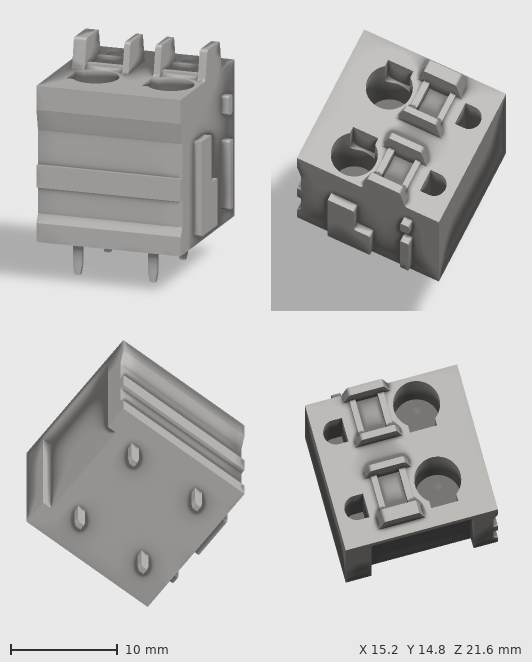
import cadquery as cq
import math


overall_height = 21.6
pin_length = 3.5

left_width = 6.72
spacer_width = 2.48
right_width = 5.18
depth = 14.8
height = 15.23
spacer_start = left_width
right_start = spacer_start + spacer_width
right_end = right_start + right_width
pole_pitch = 7.5

bay_depth = 0.45
lower_slope_bottom = 1.85
lower_slope_top = 2.7
rib_bottom = 5.31
rib_top = 7.5
upper_slope_bottom = 10.8
upper_slope_top = 12.9

side_recess_depth = 1.0
side_recess_front = 2.38
side_recess_back = 12.3
side_recess_top = 14.0

wire_hole_x = 4.23
wire_hole_y = 4.69
wire_hole_radius = 2.2
wire_hole_depth = 8.65

slot_left = 1.77
slot_width_y = 2.64
slot_depth = 4.32
slot_floor_radius = 0.7

probe_hole_x = 3.65
probe_hole_radius = 1.17
probe_hole_front = 11.8
probe_hole_arc_y = 12.72
probe_hole_depth = 8.65

guard_center_y = 9.03
guard_fillet = 0.3
foot_thickness = 0.43
plate_left = 1.08
window_left = 2.33
window_right = 6.11
plate_height = overall_height - pin_length - height
plate_base_half = 2.25
plate_top_half = 1.68
plate_foot_half = plate_base_half + 2 * guard_fillet
ridge_height = 0.45
ridge_front = 7.06
window_front = 7.97
window_back = 10.13
ridge_back = 11.0
window_depth = 0.9

peg_length = 0.78
lower_peg_length = 0.85
peg_front = 11.15
peg_back = 12.05
upper_peg_bottom = 10.8
upper_peg_top = 12.65
lower_peg_bottom = 1.6
lower_peg_top = 8.34
peg_radius = 0.22
block_front = 3.59
block_step_y = 6.3
block_back = 8.0
block_bottom = 1.0
block_top = 10.24
block_step_z = (block_bottom + block_top) / 2
block_step_radius = 0.2

pin_x = 3.22
pin_rows_y = (2.6, 10.78)
pin_width = 0.85
pin_tip_width = 0.55
pin_thickness = 0.55
pin_taper = 0.89


def box(x_range, y_range, z_range):
    """Box between the given limits."""
    sizes = [end - start for start, end in (x_range, y_range, z_range)]
    corner = (x_range[0], y_range[0], z_range[0])
    return cq.Workplane("XY").box(*sizes, centered=False).translate(corner)


def prism_along_x(points, x_start, x_end):
    """Extrude an outline of (y, z) points from x_start to x_end."""
    outline = cq.Workplane("YZ", origin=(x_start, 0, 0)).polyline(points).close()
    return outline.extrude(x_end - x_start)


def round_corners(prism, corners, radius):
    """Round the X-parallel edges of a prism that pass through the given (y, z) corners."""
    middle_x = prism.val().Center().x
    for y, z in corners:
        nearest = cq.selectors.NearestToPointSelector((middle_x, y, z))
        prism = prism.edges("|X").edges(nearest).fillet(radius)
    return prism


def slab(x_start, x_end):
    """Housing slab with the stepped front face."""
    outline = [
        (0, 0),
        (depth, 0),
        (depth, height),
        (0, height),
        (0, upper_slope_top),
        (bay_depth, upper_slope_bottom),
        (bay_depth, rib_top),
        (0, rib_top),
        (0, rib_bottom),
        (bay_depth, rib_bottom),
        (bay_depth, lower_slope_top),
        (0, lower_slope_bottom),
    ]
    return prism_along_x(outline, x_start, x_end)


def guard_plate(x_start, x_end):
    """Tapered plate on the top face, on a foot sunk flush into the housing."""
    foot_front = guard_center_y - plate_foot_half
    foot_back = guard_center_y + plate_foot_half
    foot_bottom = height - foot_thickness
    plate_corners = [
        (guard_center_y + plate_base_half, height),
        (guard_center_y + plate_top_half, height + plate_height),
        (guard_center_y - plate_top_half, height + plate_height),
        (guard_center_y - plate_base_half, height),
    ]
    outline = [
        (foot_front, foot_bottom),
        (foot_back, foot_bottom),
        (foot_back, height),
        *plate_corners,
        (foot_front, height),
    ]
    plate = prism_along_x(outline, x_start, x_end)
    return round_corners(plate, plate_corners, guard_fillet)


def window_ridge(x_start, x_end, inner_y, outer_y):
    """Low ridge beside the window; outer_y is where the fillet of its outer face ends."""
    outward = math.copysign(guard_fillet, outer_y - inner_y)
    wall_y = outer_y - outward
    foot_y = outer_y + outward
    outline = [
        (inner_y, height - foot_thickness),
        (foot_y, height - foot_thickness),
        (foot_y, height),
        (wall_y, height),
        (wall_y, height + ridge_height),
        (inner_y, height + ridge_height),
    ]
    ridge = prism_along_x(outline, x_start, x_end)
    return round_corners(ridge, [(wall_y, height)], guard_fillet)


def add_guard(housing, pole_x, slab_start, slab_end):
    """Two plates and two ridges around a sunken window, trimmed to the slab."""
    left = pole_x + window_left
    right = pole_x + window_right
    outer_left = max(pole_x + plate_left, slab_start)
    housing = housing.union(guard_plate(outer_left, left))
    housing = housing.union(guard_plate(right, slab_end))
    housing = housing.union(window_ridge(left, right, window_front, ridge_front))
    housing = housing.union(window_ridge(left, right, window_back, ridge_back))
    window = box((left, right), (window_front, window_back), (height - window_depth, height))
    return housing.cut(window)


def cut_top_openings(housing, pole_x):
    """Wire hole with its side slot, and the D-shaped probe hole."""
    wire_x = pole_x + wire_hole_x
    top = cq.Workplane("XY", origin=(0, 0, height))
    wire_hole = top.center(wire_x, wire_hole_y).circle(wire_hole_radius).extrude(-wire_hole_depth)

    slot_front = wire_hole_y - slot_width_y / 2
    slot_back = wire_hole_y + slot_width_y / 2
    slot_floor = height - slot_depth
    slot = box((pole_x + slot_left, wire_x), (slot_front, slot_back), (slot_floor, height))
    slot = slot.edges("|X and <Z").fillet(slot_floor_radius)

    probe_x = pole_x + probe_hole_x
    probe_left = probe_x - probe_hole_radius
    probe_right = probe_x + probe_hole_radius
    probe_hole = (
        top.moveTo(probe_left, probe_hole_front)
        .lineTo(probe_right, probe_hole_front)
        .lineTo(probe_right, probe_hole_arc_y)
        .threePointArc((probe_x, probe_hole_arc_y + probe_hole_radius), (probe_left, probe_hole_arc_y))
        .close()
        .extrude(-probe_hole_depth)
    )
    return housing.cut(wire_hole).cut(slot).cut(probe_hole)


def pole_housing(pole_x, slab_start, slab_end):
    """Slab with the window guard and the top openings of one pole."""
    housing = add_guard(slab(slab_start, slab_end), pole_x, slab_start, slab_end)
    return cut_top_openings(housing, pole_x)


def coupling_peg(bottom, top, length):
    """Upright peg with rounded long edges on the right side."""
    peg = box((right_end, right_end + length), (peg_front, peg_back), (bottom, top))
    return peg.edges("|X").fillet(peg_radius)


def coupling_block():
    """Stepped block on the right side, lower towards the back."""
    step_top = (block_step_y, block_top)
    step_foot = (block_step_y, block_step_z)
    back_top = (block_back, block_step_z)
    front_bottom = (block_front, block_bottom)
    outline = [
        front_bottom,
        (block_back, block_bottom),
        back_top,
        step_foot,
        step_top,
        (block_front, block_top),
    ]
    block = prism_along_x(outline, right_end, right_end + peg_length)
    block = round_corners(block, [step_top, step_foot], block_step_radius)
    return round_corners(block, [back_top, front_bottom], peg_radius)


def solder_pin(x, y):
    """Flat pin under the housing, tapered in width at its tip."""
    half = pin_width / 2
    tip_half = pin_tip_width / 2
    taper_z = pin_taper - pin_length
    outline = [
        (-half, 0),
        (half, 0),
        (half, taper_z),
        (tip_half, -pin_length),
        (-tip_half, -pin_length),
        (-half, taper_z),
    ]
    pin = cq.Workplane("XZ").polyline(outline).close().extrude(pin_thickness / 2, both=True)
    return pin.translate((x, y, 0))


left_housing = pole_housing(0, 0, left_width)
side_recess = box(
    (0, side_recess_depth),
    (side_recess_front, side_recess_back),
    (0, side_recess_top),
)
left_housing = left_housing.cut(side_recess)

spacer = slab(spacer_start, right_start)

right_housing = pole_housing(pole_pitch, right_start, right_end)
right_housing = (
    right_housing.union(coupling_peg(upper_peg_bottom, upper_peg_top, peg_length))
    .union(coupling_peg(lower_peg_bottom, lower_peg_top, lower_peg_length))
    .union(coupling_block())
)

pins = [
    solder_pin(pole_x + pin_x, pin_y).val()
    for pole_x in (0, pole_pitch)
    for pin_y in pin_rows_y
]

result = cq.Compound.makeCompound([left_housing.val(), spacer.val(), right_housing.val(), *pins])